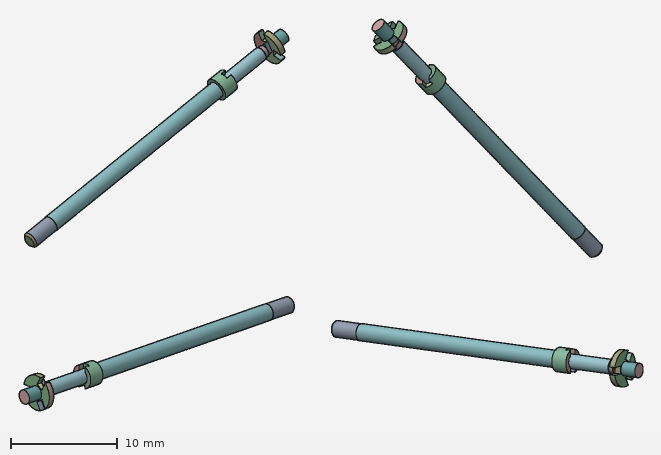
import cadquery as cq
import math

TOTAL_LENGTH = 34.6
FLANGE_START = 1.58
FLANGE_END = 2.18
KEY_END = 2.6
NECK_END = 3.05
COLLAR_START = 7.52
COLLAR_END = 9.12
TIP_LENGTH = 2.95
BARREL_END = TOTAL_LENGTH - TIP_LENGTH

HEAD_DIAMETER = 1.4
NECK_DIAMETER = 1.25
COLLAR_DIAMETER = 2.35
BARREL_DIAMETER = 1.65
TIP_DIAMETER = 1.6
TIP_CHAMFER = 0.2

FLANGE_DIAMETER = 3.5
FLANGE_SLOT_COUNT = 3
FLANGE_SLOT_FLOOR = 0.8
SLOT_WIDTH = 0.75
COLLAR_SLOT_DEPTH = 0.55

KEY_HALF_HEIGHT = 1.08
KEY_FLANK_ANGLE = math.radians(60)
KEY_HALF_WIDTH = KEY_HALF_HEIGHT / math.tan(KEY_FLANK_ANGLE)


def section_plane(start):
    """Plane across the axis at a station, with its normal towards the tip."""
    return cq.Workplane("XZ", origin=(0, -start, 0))


def cylinder(diameter, start, end):
    return section_plane(start).circle(diameter / 2).extrude(end - start)


def slotted_flange():
    """Disc with equally spaced flat-bottomed radial slots open at the rim."""
    thickness = FLANGE_END - FLANGE_START
    slot_length = FLANGE_DIAMETER / 2 - FLANGE_SLOT_FLOOR
    flange = cylinder(FLANGE_DIAMETER, FLANGE_START, FLANGE_END)
    slot = (
        section_plane(FLANGE_START)
        .center(FLANGE_SLOT_FLOOR + slot_length / 2, 0)
        .rect(slot_length, SLOT_WIDTH)
        .extrude(thickness)
    )
    for index in range(FLANGE_SLOT_COUNT):
        angle = index * 360 / FLANGE_SLOT_COUNT
        flange = flange.cut(slot.rotate((0, 0, 0), (0, 1, 0), angle))
    return flange


def diamond_key():
    corners = [
        (-KEY_HALF_WIDTH, 0),
        (0, KEY_HALF_HEIGHT),
        (KEY_HALF_WIDTH, 0),
        (0, -KEY_HALF_HEIGHT),
    ]
    return section_plane(FLANGE_END).polyline(corners).close().extrude(KEY_END - FLANGE_END)


def slotted_collar():
    """Collar with one slot across its head-side end, running along Z."""
    collar = cylinder(COLLAR_DIAMETER, COLLAR_START, COLLAR_END)
    slot = section_plane(COLLAR_START).rect(SLOT_WIDTH, COLLAR_DIAMETER).extrude(COLLAR_SLOT_DEPTH)
    return collar.cut(slot)


def chamfered_tip():
    return cylinder(TIP_DIAMETER, BARREL_END, TOTAL_LENGTH).faces("<Y").edges().chamfer(TIP_CHAMFER)


result = (
    cylinder(HEAD_DIAMETER, 0, FLANGE_START)
    .union(slotted_flange())
    .union(diamond_key())
    .union(cylinder(NECK_DIAMETER, KEY_END, NECK_END))
    .union(cylinder(HEAD_DIAMETER, NECK_END, COLLAR_END))
    .union(slotted_collar())
    .union(cylinder(BARREL_DIAMETER, COLLAR_END, BARREL_END))
    .union(chamfered_tip())
)